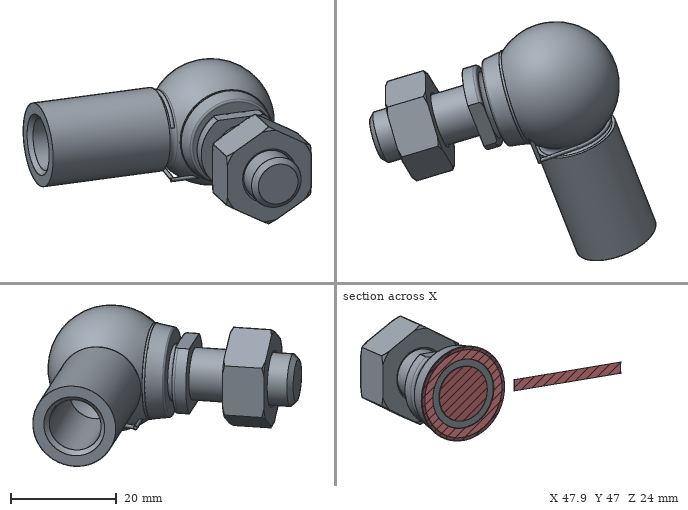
import cadquery as cq
import math


housing_radius = 12.0
ball_radius = 8.0
shank_radius = 8.0
shank_end = 34.95
shank_start = 11.25
groove_edge_radius = 7.35
groove_floor_radius = 6.8
bore_radius = 10.0 / 2
bore_chamfer = 0.85
bore_depth = 19.65
drill_point_height = bore_radius * math.tan(math.radians(30))
socket_mouth_radius = 6.7

ring_radius = 17.8 / 2
ring_wire_radius = 0.6 / 2
mouth_x = math.sqrt(housing_radius**2 - ring_radius**2)

seal_end_x = 12.0
seal_base_radius = 9.15
seal_tip_radius = 8.55
seal_edge_fillet = 0.45

neck_radius = 5.35
neck_flare_middle_x = 12.75
neck_flare_middle_radius = 5.85
neck_flare_radius = 6.6
flange_start_x = 13.2
flange_end_x = 16.0
flange_radius = 8.0
flange_fillet = 0.6
flange_flats = 13.0
thread_radius = bore_radius
stud_end_x = 47.9 - housing_radius
stud_chamfer = 1.0

nut_start_x = 23.2
nut_thickness = 8.0
nut_flats = 17.0
nut_corner_radius = nut_flats / math.sqrt(3)
nut_chamfer_radial = 0.7
nut_chamfer_axial = 0.405
nut_countersink = 0.4

clip_wire_radius = 0.7 / 2
clip_clearance = 0.025
clip_radius = groove_floor_radius + clip_wire_radius + clip_clearance
clip_distance = 10.25
clip_start_angle = 20.0
clip_tail_slope = 6.0
clip_tail_end_x = 6.8
clip_leg_inner_y = -4.3

groove_start = math.sqrt(housing_radius**2 - groove_edge_radius**2)
groove_middle = (groove_start + shank_start) / 2


def revolve_about_x(outline):
    """Revolve a closed (x, radius) outline about the X axis."""
    return outline.close().revolve(360, (0, 0, 0), (1, 0, 0))


def make_ring():
    """Round wire ring at the joint between the housing mouth and the seal."""
    return cq.Workplane(cq.Solid.makeTorus(
        ring_radius, ring_wire_radius, cq.Vector(mouth_x, 0, 0), cq.Vector(1, 0, 0)))


def make_clip():
    """Wire loop in the neck groove, with a tangent tail and a leg into the housing."""
    slope = math.radians(clip_tail_slope)
    start = math.radians(clip_start_angle)
    tangent_x = -clip_radius * math.sin(slope)
    tangent_z = -clip_radius * math.cos(slope)
    tail_length = (clip_tail_end_x - tangent_x) / math.cos(slope)
    tail_end_z = tangent_z - tail_length * math.sin(slope)
    loop_middle = (start + math.radians(270 - clip_tail_slope)) / 2
    path = (
        cq.Workplane("XZ", origin=(0, -clip_distance, 0))
        .moveTo(clip_radius * math.cos(start), clip_radius * math.sin(start))
        .threePointArc(
            (clip_radius * math.cos(loop_middle), clip_radius * math.sin(loop_middle)),
            (tangent_x, tangent_z),
        )
        .lineTo(clip_tail_end_x, tail_end_z)
    )
    wire_end = cq.Plane(
        origin=(clip_radius * math.cos(start), -clip_distance, clip_radius * math.sin(start)),
        xDir=(0, 1, 0),
        normal=(-math.sin(start), 0, math.cos(start)),
    )
    loop = cq.Workplane(wire_end).circle(clip_wire_radius).sweep(path)
    leg_outer = clip_distance + clip_wire_radius
    leg = (
        cq.Workplane("XZ", origin=(0, -leg_outer, 0))
        .center(clip_tail_end_x, tail_end_z)
        .circle(clip_wire_radius)
        .extrude(-(leg_outer + clip_leg_inner_y))
    )
    return loop.union(leg)


def make_housing(clip, ring):
    """Ball socket with grooved neck and drilled shank; the clip and ring sit in recesses."""
    outer = (
        cq.Workplane("XY")
        .moveTo(0, housing_radius)
        .threePointArc((housing_radius, 0), (groove_edge_radius, -groove_start))
        .threePointArc((groove_floor_radius, -groove_middle), (groove_edge_radius, -shank_start))
        .lineTo(shank_radius, -shank_start)
        .lineTo(shank_radius, -shank_end)
        .lineTo(0, -shank_end)
        .close()
        .revolve(360, (0, 0, 0), (0, 1, 0))
    )
    bore = (
        cq.Workplane("XY")
        .moveTo(0, -shank_end)
        .lineTo(bore_radius + bore_chamfer, -shank_end)
        .lineTo(bore_radius, -shank_end + bore_chamfer)
        .lineTo(bore_radius, -shank_end + bore_depth)
        .lineTo(0, -shank_end + bore_depth + drill_point_height)
        .close()
        .revolve(360, (0, 0, 0), (0, 1, 0))
    )
    beyond_mouth = (
        cq.Workplane("YZ", origin=(mouth_x, 0, 0))
        .circle(housing_radius)
        .extrude(housing_radius)
    )
    mouth = cq.Workplane("YZ").circle(socket_mouth_radius).extrude(housing_radius)
    cavity = cq.Workplane("XY").sphere(ball_radius).union(mouth)
    return outer.cut(bore).cut(beyond_mouth).cut(cavity).cut(clip).cut(ring)


def make_seal(ring):
    """Tapered collar between the housing mouth and the stud neck."""
    collar = revolve_about_x(
        cq.Workplane("XY")
        .moveTo(mouth_x, neck_radius)
        .lineTo(mouth_x, seal_base_radius)
        .lineTo(seal_end_x, seal_tip_radius)
        .lineTo(seal_end_x, neck_radius)
    )
    rounded = collar.faces(">X").edges(cq.selectors.RadiusNthSelector(-1)).fillet(seal_edge_fillet)
    return rounded.cut(ring)


def make_stud():
    """Ball, flared neck, flange with two wrench flats, and threaded end."""
    ball = cq.Workplane("XY").sphere(ball_radius)
    neck = revolve_about_x(
        cq.Workplane("XY")
        .lineTo(0, neck_radius)
        .lineTo(seal_end_x, neck_radius)
        .threePointArc(
            (neck_flare_middle_x, neck_flare_middle_radius),
            (flange_start_x, neck_flare_radius),
        )
        .lineTo(flange_start_x, 0)
    )
    flange = (
        cq.Workplane("YZ", origin=(flange_start_x, 0, 0))
        .circle(flange_radius)
        .extrude(flange_end_x - flange_start_x)
        .faces("<X").edges().fillet(flange_fillet)
    )
    flats = cq.Workplane("XY").box(2 * stud_end_x, 2 * flange_radius, flange_flats)
    flange = flange.intersect(flats)
    thread = (
        cq.Workplane("YZ", origin=(flange_start_x, 0, 0))
        .circle(thread_radius)
        .extrude(stud_end_x - flange_start_x)
        .faces(">X").chamfer(stud_chamfer)
    )
    return ball.union(neck.intersect(flats)).union(flange).union(thread)


def make_nut():
    """Hexagon nut with corners along Z, chamfered at both ends."""
    hexagon = (
        cq.Workplane("YZ", origin=(nut_start_x, 0, 0))
        .transformed(rotate=(0, 0, 90))
        .polygon(6, 2 * nut_corner_radius)
        .extrude(nut_thickness)
    )
    corner_envelope = (
        cq.Workplane("YZ", origin=(nut_start_x, 0, 0))
        .circle(nut_corner_radius)
        .extrude(nut_thickness)
        .faces("<X").chamfer(nut_chamfer_axial, nut_chamfer_radial)
        .faces(">X").chamfer(nut_chamfer_axial, nut_chamfer_radial)
    )
    bore = (
        cq.Workplane("YZ", origin=(nut_start_x, 0, 0))
        .circle(thread_radius)
        .extrude(nut_thickness)
    )
    nut = hexagon.intersect(corner_envelope).cut(bore)
    bore_edges = nut.faces("<X or >X").edges(cq.selectors.RadiusNthSelector(0))
    return bore_edges.chamfer(nut_countersink)


ring = make_ring()
clip = make_clip()
housing = make_housing(clip, ring)
seal = make_seal(ring)
stud = make_stud()
nut = make_nut()

result = cq.Compound.makeCompound([
    housing.solids().val(),
    seal.solids().val(),
    ring.solids().val(),
    clip.solids().val(),
    stud.solids().val(),
    nut.solids().val(),
])